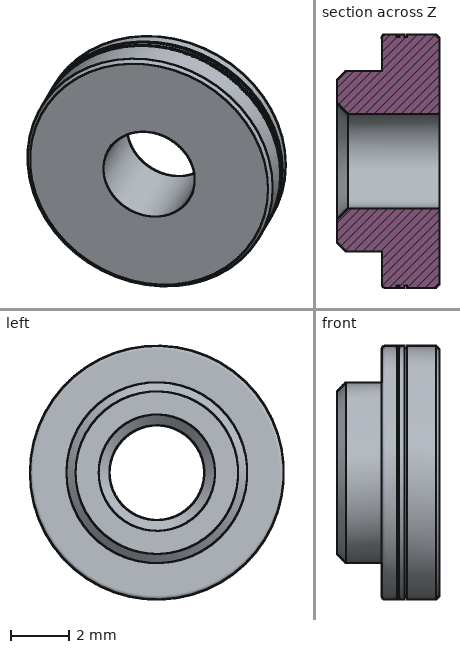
import cadquery as cq

flange_radius = 4.37
total_length = 3.53
boss_length = 1.54
boss_radius = 3.11
bore_radius = 1.63

boss_chamfer = 0.315
flange_fillet = 0.13
flange_chamfer = 0.13
countersink_radius = 2.0
countersink_depth = countersink_radius - bore_radius

groove_width = 0.08
groove_depth = 0.08
first_groove_start = 2.06
groove_pitch = 0.26
groove_count = 2


def disc(start, length, radius):
    """Solid cylinder along X, from start to start + length."""
    return cq.Workplane("YZ").workplane(offset=start).circle(radius).extrude(length)


def make_boss():
    """Round boss with its free rim chamfered, reaching through to the flange's far face."""
    return disc(0, total_length, boss_radius).faces("<X").edges().chamfer(boss_chamfer)


def make_flange():
    """Wide disc, rounded on the boss side and chamfered on the far side."""
    flange = disc(boss_length, total_length - boss_length, flange_radius)
    flange = flange.faces("<X").edges().fillet(flange_fillet)
    return flange.faces(">X").edges().chamfer(flange_chamfer)


def make_groove(start):
    """Square-bottomed ring to be cut from the flange rim."""
    floor_radius = flange_radius - groove_depth
    ring = cq.Workplane("YZ").workplane(offset=start).circle(flange_radius)
    return ring.circle(floor_radius).extrude(groove_width)


def make_bore():
    """Through bore opened by a 45 degree countersink at the boss face."""
    half_profile = [
        (0, 0),
        (0, countersink_radius),
        (countersink_depth, bore_radius),
        (countersink_depth, 0),
    ]
    countersink = cq.Workplane("XY").polyline(half_profile).close().revolve(360, (0, 0, 0), (1, 0, 0))
    return disc(0, total_length, bore_radius).union(countersink)


result = make_boss().union(make_flange()).cut(make_bore())
for index in range(groove_count):
    result = result.cut(make_groove(first_groove_start + index * groove_pitch))